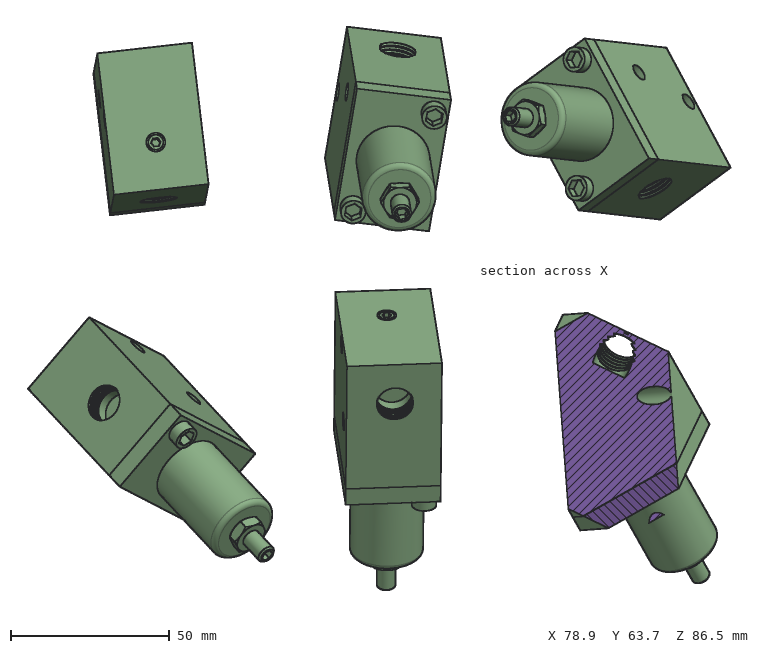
import cadquery as cq
import math


block_width = 45.2
block_depth = 30.0
block_height = 45.2

cover_height = 5.9
cover_top = block_height + cover_height
bonnet_dia = 23.2
bonnet_top = 82.5
bonnet_fillet = 1.7

mount_hole_dia = 5.5
mount_hole_places = [(-2.0, 4.5), (-11.4, 27.0)]

port_dia = 11.5
port_depth = 10.4
port_y = 0.3
left_port_z = 14.4
right_port_z = 25.6
thread_pitch = 1.3
thread_crest = 0.35
thread_height = 0.8
thread_count = 5

plug_dia = 6.0
plug_length = 6.9
plug_x = 7.5
plug_face_dia = 4.8
plug_rim_step = 0.1
plug_hex_flats = 2.6
plug_hex_depth = 3.5
plug_hex_angle = 30.0

nut_flats = 10.5
nut_height = 3.8
nut_top = bonnet_top + nut_height
nut_angle = 38.0
nut_chamfer_angle = 30.0

adjuster_dia = 6.0
adjuster_top = 95.4
adjuster_bottom = bonnet_top - 10.4
adjuster_chamfer = 0.6
adjuster_hex_flats = 3.5
adjuster_hex_depth = 3.5
adjuster_hex_angle = 45.0

cap_head_dia = 7.8
cap_head_top = cover_top + 4.0
cap_shank_dia = 5.0
cap_shank_bottom = cover_top - 15.6
cap_hex_flats = 5.0
cap_hex_depth = 3.5
cap_x = 17.6
cap_y = 10.2
cap_places = [(-cap_x, cap_y), (cap_x, -cap_y)]

spin_angle = -5.2
tilt_angle = 135.5
heading_angle = 144.85
base_centre = (17.3, -11.5, 26.5)


def across_corners(flats):
    """Corner-to-corner size of a hexagon with the given size across flats."""
    return flats / math.cos(math.pi / 6)


def slab(bottom, height):
    """Rectangular slab with the block's outline."""
    base = cq.Workplane("XY", origin=(0, 0, bottom))
    return base.box(block_width, block_depth, height, centered=(True, True, False))


def cylinder(dia, bottom, top, x=0.0, y=0.0):
    """Upright cylinder between two heights."""
    return cq.Workplane("XY", origin=(x, y, bottom)).circle(dia / 2).extrude(top - bottom)


def hexagon(flats, bottom, top, x=0.0, y=0.0, angle=0.0):
    """Upright hexagonal prism; at angle 0 two of its corners lie along X."""
    prism = cq.Workplane("XY").polygon(6, across_corners(flats)).extrude(top - bottom)
    return prism.rotate((0, 0, 0), (0, 0, 1), angle).translate((x, y, bottom))


def turned(profile):
    """Solid of revolution about Z from (radius, height) points."""
    return cq.Workplane("XZ").polyline(profile).close().revolve(360, (0, 0, 0), (0, 1, 0))


def port_cutter():
    """Blind bore with ring-shaped thread grooves, its mouth at the origin, going down."""
    radius = port_dia / 2
    groove_width = thread_pitch - thread_crest
    cutter = cylinder(port_dia, -port_depth, 0)
    for index in range(thread_count):
        groove_top = -index * thread_pitch
        groove_bottom = groove_top - groove_width
        groove = turned([
            (0, groove_top),
            (radius, groove_top),
            (radius + thread_height, groove_top - groove_width / 2),
            (radius, groove_bottom),
            (0, groove_bottom),
        ])
        cutter = cutter.union(groove)
    return cutter


def make_block():
    block = slab(0, block_height)

    mount_holes = (
        cq.Workplane("XZ", origin=(0, block_depth / 2, 0))
        .pushPoints(mount_hole_places)
        .circle(mount_hole_dia / 2)
        .extrude(block_depth)
    )
    block = block.cut(mount_holes)

    for side, port_z in [(-1, left_port_z), (1, right_port_z)]:
        port = port_cutter().rotate((0, 0, 0), (0, 1, 0), side * 90)
        block = block.cut(port.translate((side * block_width / 2, port_y, port_z)))

    block = block.cut(cylinder(plug_dia, 0, plug_length, plug_x))
    for x, y in cap_places:
        block = block.cut(cylinder(cap_shank_dia, cap_shank_bottom, block_height, x, y))
    return block


def make_cover():
    """Cover plate and bonnet in one piece, bored for the cap screws and the adjusting screw."""
    bonnet = cylinder(bonnet_dia, cover_top, bonnet_top).faces(">Z").edges().fillet(bonnet_fillet)
    cover = slab(block_height, cover_height).union(bonnet)
    cover = cover.cut(cylinder(adjuster_dia, adjuster_bottom, bonnet_top))
    for x, y in cap_places:
        cover = cover.cut(cylinder(cap_shank_dia, block_height, cover_top, x, y))
    return cover


def make_plug():
    """Plug with a slightly set-back rim around its face and a hexagon socket."""
    body = cylinder(plug_dia, plug_rim_step, plug_length, plug_x)
    face = cylinder(plug_face_dia, 0, plug_rim_step, plug_x)
    socket = hexagon(plug_hex_flats, 0, plug_hex_depth, plug_x, angle=plug_hex_angle)
    return body.union(face).cut(socket)


def make_nut():
    """Hexagon nut with the corners chamfered at both ends."""
    flat_radius = nut_flats / 2
    corner_radius = across_corners(nut_flats) / 2
    chamfer_rise = (corner_radius - flat_radius) * math.tan(math.radians(nut_chamfer_angle))
    chamfer_envelope = turned([
        (0, bonnet_top),
        (flat_radius, bonnet_top),
        (corner_radius, bonnet_top + chamfer_rise),
        (corner_radius, nut_top - chamfer_rise),
        (flat_radius, nut_top),
        (0, nut_top),
    ])
    nut = hexagon(nut_flats, bonnet_top, nut_top, angle=nut_angle).intersect(chamfer_envelope)
    return nut.cut(cylinder(adjuster_dia, bonnet_top, nut_top))


def make_adjuster():
    """Adjusting screw with a chamfered tip and a hexagon socket."""
    adjuster = cylinder(adjuster_dia, adjuster_bottom, adjuster_top)
    adjuster = adjuster.faces(">Z").chamfer(adjuster_chamfer)
    socket_bottom = adjuster_top - adjuster_hex_depth
    return adjuster.cut(hexagon(adjuster_hex_flats, socket_bottom, adjuster_top, angle=adjuster_hex_angle))


def make_cap_screw(x, y):
    head = cylinder(cap_head_dia, cover_top, cap_head_top, x, y)
    shank = cylinder(cap_shank_dia, cap_shank_bottom, cover_top, x, y)
    socket = hexagon(cap_hex_flats, cap_head_top - cap_hex_depth, cap_head_top, x, y)
    return head.union(shank).cut(socket)


def place(body):
    """Turn and move a body from the upright frame to the valve's attitude in space."""
    return (
        body.rotate((0, 0, 0), (0, 0, 1), spin_angle)
        .rotate((0, 0, 0), (0, 1, 0), tilt_angle)
        .rotate((0, 0, 0), (0, 0, 1), heading_angle)
        .translate(base_centre)
    )


block = place(make_block())
cover = place(make_cover())
plug = place(make_plug())
nut = place(make_nut())
adjuster = place(make_adjuster())
cap_screws = [place(make_cap_screw(x, y)) for x, y in cap_places]

result = cq.Compound.makeCompound([
    block.val(),
    cover.val(),
    plug.val(),
    nut.val(),
    adjuster.val(),
    *[screw.val() for screw in cap_screws],
])